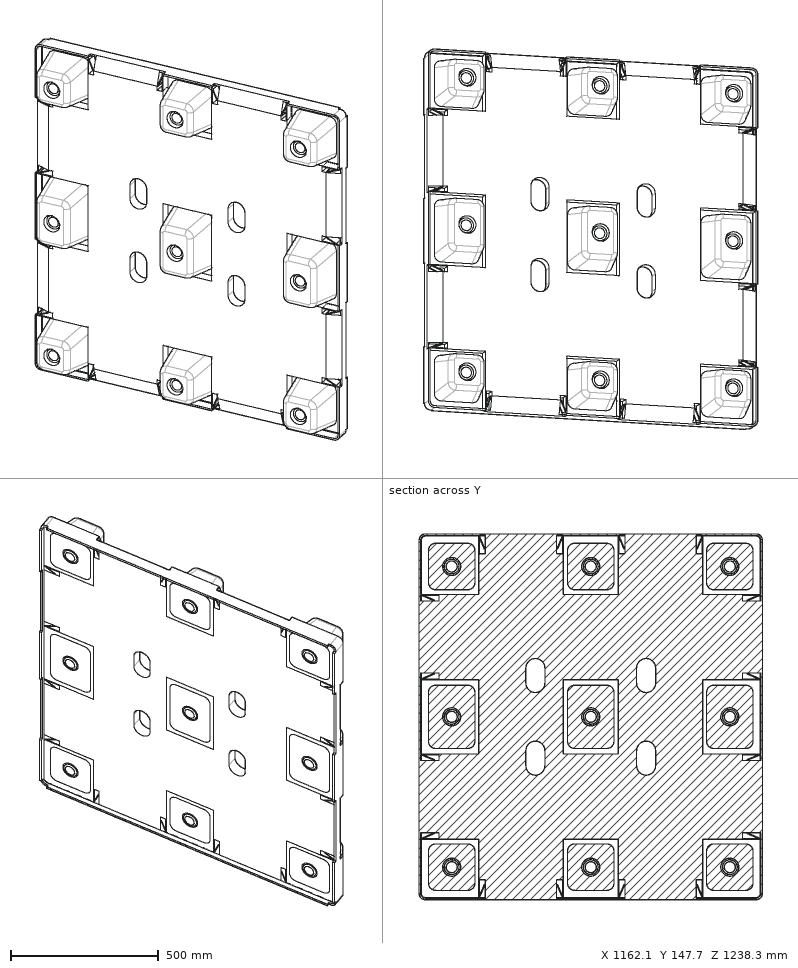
import math

import cadquery as cq

WIDTH = 1162.05
LENGTH = 1238.25
HEIGHT = 147.65

DECK_THICKNESS = 57.15
TRAY_LEVEL = 40.0
CORNER_RADIUS = 22.2
RIM_THICKNESS = 7.9
LIP_HEIGHT = 9.525
LIP_START_X = 28.6
LIP_START_Z = 23.8
CORNER_LIP_END = 219.0
MIDDLE_LIP_HALF_LENGTH = 112.0

WALL = 3.2
RIM_WALL = 6.35
SOCKET_DEPTH = TRAY_LEVEL - WALL
CORNER_SOCKET_END_X = 201.6
CORNER_SOCKET_END_Z = 204.8
MIDDLE_SOCKET_HALF_X = 93.0
MIDDLE_SOCKET_HALF_Z = 125.4

LEG_INSET = 110.7
LEG_WIDTH = 147.6
MIDDLE_LEG_LENGTH = 204.5
LEG_DRAFT = 8.0
LEG_CORNER_RADIUS = 25.4
LEG_TIP_RADIUS = 17.5
LEG_PROJECTION = HEIGHT - DECK_THICKNESS
LEG_HOLE_DIAMETER = 36.5
LEG_BORE_DIAMETER = 60.3
SLEEVE_DIAMETER = 50.8
SLEEVE_RECESS = 12.7

ENTRY_DEPTH = 18.0
ENTRY_REACH = 52.0
CELL_END = 22.2
CELL_REACH = 67.5
CELL_EDGE_WALL = 5.5

SLOT_WIDTH = 63.5
SLOT_LENGTH = 114.3
SLOT_X = 187.3
SLOT_Z = 139.7

HALF_WIDTH = WIDTH / 2
HALF_LENGTH = LENGTH / 2
LEG_X = HALF_WIDTH - LEG_INSET
LEG_Z = HALF_LENGTH - LEG_INSET
SIDES = (-1, 0, 1)


def underside_plane(y=0):
    """Sketch plane at height y: local x is X, local y is Z, and the normal points to -Y."""
    return cq.Workplane("XZ", origin=(0, y, 0))


def block(x_range, z_range, y_range):
    """Box between the given limits."""
    (x0, x1), (z0, z1), (y0, y1) = x_range, z_range, y_range
    return cq.Workplane("XY").box(x1 - x0, y1 - y0, z1 - z0, centered=False).translate((x0, y0, z0))


def rounded_slab(inset, y_low, y_high):
    """Slab following the deck outline at an inset, with rounded corners."""
    slab = underside_plane(y_high).rect(WIDTH - 2 * inset, LENGTH - 2 * inset).extrude(y_high - y_low)
    return slab.edges("|Y").fillet(CORNER_RADIUS - inset)


def mirrored_four_ways(shape):
    """The shape in the +X +Z quadrant together with its three mirror images."""
    pair = shape.union(shape.mirror("YZ"))
    return pair.union(pair.mirror("XY"))


def make_rim():
    """Rim around the tray, lowered at the corners and midway between the legs of the long sides."""
    rim = rounded_slab(0, TRAY_LEVEL, DECK_THICKNESS).cut(
        rounded_slab(RIM_THICKNESS, TRAY_LEVEL, DECK_THICKNESS))
    y_range = (DECK_THICKNESS - LIP_HEIGHT, DECK_THICKNESS)
    corner_gap = block((HALF_WIDTH - LIP_START_X, HALF_WIDTH),
                       (HALF_LENGTH - LIP_START_Z, HALF_LENGTH), y_range)
    side_gap = block((HALF_WIDTH - RIM_THICKNESS, HALF_WIDTH),
                     (MIDDLE_LIP_HALF_LENGTH, HALF_LENGTH - CORNER_LIP_END), y_range)
    return rim.cut(mirrored_four_ways(corner_gap)).cut(mirrored_four_ways(side_gap))


def socket_limits(side, half_size, corner_end, middle_half):
    """Limits of a socket along one axis for the low, middle or high row of legs."""
    if side == 0:
        return (-middle_half, middle_half)
    limits = (half_size - corner_end, half_size - RIM_WALL)
    return limits if side > 0 else (-limits[1], -limits[0])


def make_sockets():
    """The nine rectangular sockets, trimmed to leave an even wall at the rounded deck corners."""
    sockets = cq.Workplane("XY")
    for side_x in SIDES:
        for side_z in SIDES:
            x_range = socket_limits(side_x, HALF_WIDTH, CORNER_SOCKET_END_X, MIDDLE_SOCKET_HALF_X)
            z_range = socket_limits(side_z, HALF_LENGTH, CORNER_SOCKET_END_Z, MIDDLE_SOCKET_HALF_Z)
            sockets = sockets.union(block(x_range, z_range, (0, SOCKET_DEPTH)))
    return sockets.intersect(rounded_slab(RIM_WALL, 0, SOCKET_DEPTH))


def make_leg(length):
    """Tapered leg on the Y axis with rounded corners and a rounded tip."""
    base_growth = 2 * SOCKET_DEPTH * math.tan(math.radians(LEG_DRAFT))
    leg = (underside_plane(SOCKET_DEPTH)
           .rect(LEG_WIDTH + base_growth, length + base_growth)
           .extrude(LEG_PROJECTION + SOCKET_DEPTH, taper=LEG_DRAFT))
    leg = leg.edges("not(#Y)").fillet(LEG_CORNER_RADIUS)
    return leg.faces("<Y").edges().fillet(LEG_TIP_RADIUS)


def make_leg_hole():
    """Hole through leg and deck, in a sleeve that stands inside a wider blind bore."""
    bore_depth = LEG_PROJECTION + SOCKET_DEPTH
    bore = underside_plane(SOCKET_DEPTH).circle(LEG_BORE_DIAMETER / 2).extrude(bore_depth)
    sleeve = underside_plane(SOCKET_DEPTH).circle(SLEEVE_DIAMETER / 2).extrude(bore_depth - SLEEVE_RECESS)
    hole = underside_plane(TRAY_LEVEL).circle(LEG_HOLE_DIAMETER / 2).extrude(LEG_PROJECTION + TRAY_LEVEL)
    return bore.cut(sleeve).union(hole)


def make_entry_cut(span):
    """Sloped relief and its two end cells, for an entry from x = 0 to span at the edge z = 0."""
    slope = (cq.Workplane("YZ")
             .polyline([(0, 0), (ENTRY_DEPTH, 0), (0, -ENTRY_REACH)]).close()
             .extrude(span))
    z_range = (-CELL_REACH, -CELL_EDGE_WALL)
    y_range = (0, SOCKET_DEPTH)
    near_cell = block((WALL, CELL_END), z_range, y_range)
    far_cell = block((span - CELL_END, span - WALL), z_range, y_range)
    return slope.union(near_cell).union(far_cell)


def make_entry_ribs(span):
    """Diagonal ribs across the two end cells, splaying the entry toward the edge, and the socket walls."""
    knee = 2 * WALL * ENTRY_REACH / CELL_END
    rib = (underside_plane(SOCKET_DEPTH)
           .polyline([(0, 0), (CELL_END, -ENTRY_REACH), (CELL_END - WALL, -ENTRY_REACH),
                      (WALL, -knee), (WALL, -CELL_REACH), (0, -CELL_REACH)]).close()
           .extrude(SOCKET_DEPTH))
    return rib.union(rib.mirror("YZ").translate((span, 0, 0)))


def on_all_edges(make_shape):
    """Place the shape made for one entry at both entries of all four deck edges."""
    end_span = HALF_WIDTH - CORNER_SOCKET_END_X - MIDDLE_SOCKET_HALF_X
    side_span = HALF_LENGTH - CORNER_SOCKET_END_Z - MIDDLE_SOCKET_HALF_Z
    at_end = make_shape(end_span).translate((MIDDLE_SOCKET_HALF_X, 0, HALF_LENGTH))
    at_side = (make_shape(side_span)
               .rotate((0, 0, 0), (0, 1, 0), 90)
               .translate((HALF_WIDTH, 0, MIDDLE_SOCKET_HALF_Z + side_span)))
    return mirrored_four_ways(at_end).union(mirrored_four_ways(at_side))


def make_hand_slots():
    """Four upright slots through the deck."""
    centers = [(x, z) for x in (-SLOT_X, SLOT_X) for z in (-SLOT_Z, SLOT_Z)]
    return (underside_plane(DECK_THICKNESS).pushPoints(centers)
            .slot2D(SLOT_LENGTH, SLOT_WIDTH, 90).extrude(DECK_THICKNESS))


deck = rounded_slab(0, 0, TRAY_LEVEL).union(make_rim())
deck = deck.cut(make_sockets()).cut(make_hand_slots())
deck = deck.cut(on_all_edges(make_entry_cut)).union(on_all_edges(make_entry_ribs))

leg_hole = make_leg_hole()
result = deck
for side_z in SIDES:
    leg = make_leg(MIDDLE_LEG_LENGTH if side_z == 0 else LEG_WIDTH)
    for side_x in SIDES:
        place = (side_x * LEG_X, 0, side_z * LEG_Z)
        result = result.union(leg.translate(place)).cut(leg_hole.translate(place))